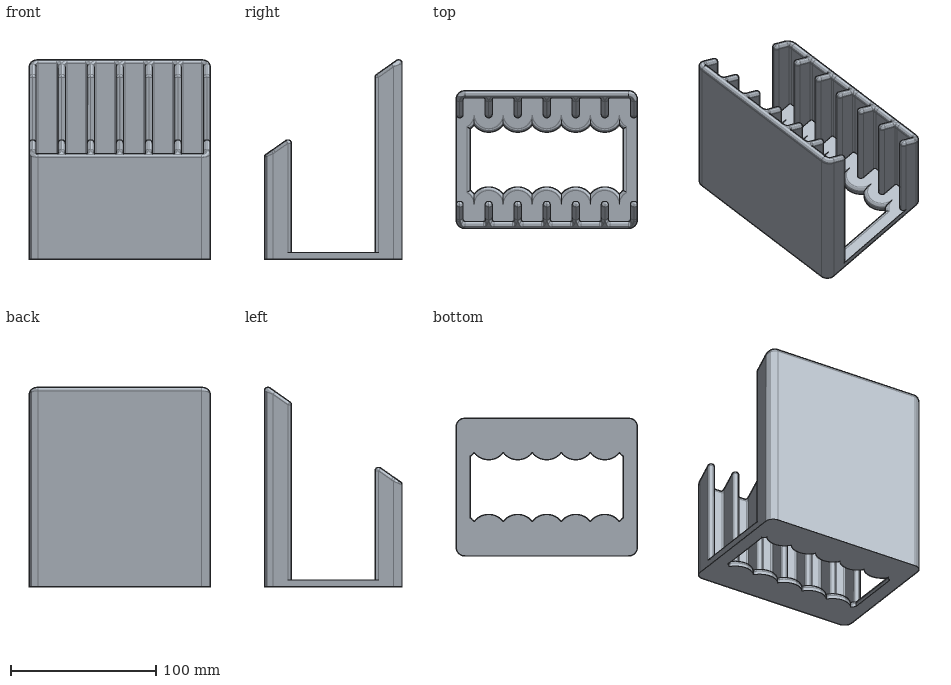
import cadquery as cq
import math

length = 125.0
width = 95.0
height = 137.6
half_width = width / 2

thickness = 5.0
fin_count = 7
fin_reach = 18.7
fin_pitch = (length - thickness) / (fin_count - 1)
fin_xs = [(i - (fin_count - 1) / 2) * fin_pitch for i in range(fin_count)]

corner_radius = 6.0
root_radius = corner_radius - thickness
rim_land = 0.03
rim_radius = (thickness - rim_land) / 2
floor_rounding = thickness / 2

slope = math.radians(35)
wall_step = 68.2
rim_drop = rim_radius * (math.tan(slope) + 1 / math.cos(slope) - 1)
rear_top = height + rim_drop
front_top = rear_top - wall_step

side_strip = 9.9
lobe_overlap = 0.03
lobe_radius = fin_pitch / 2 + floor_rounding + lobe_overlap
tip_axis_y = half_width - fin_reach + thickness / 2


def block(size_x, size_y, size_z):
    """Box centred on X and Y and standing on the XY plane."""
    return cq.Workplane("XY").box(size_x, size_y, size_z, centered=(True, True, False))


def finned_wall():
    """Rear wall with square-ended fins on its inner face, taller than needed."""
    blank_height = rear_top + fin_reach
    wall = block(length, thickness, blank_height).translate((0, half_width - thickness / 2, 0))
    fin = block(thickness, fin_reach, blank_height)
    for x in fin_xs:
        wall = wall.union(fin.translate((x, half_width - fin_reach / 2, 0)))
    wall = wall.edges("|Z and >Y").fillet(corner_radius)

    inner_y = half_width - thickness
    near_inner_face = cq.selectors.BoxSelector(
        (-length / 2, inner_y - root_radius / 2, 0),
        (length / 2, inner_y + root_radius / 2, blank_height),
    )
    return wall.edges("|Z").edges(near_inner_face).fillet(root_radius)


def slope_and_round(wall, outer_y, top_z, tip_side):
    """Cut the top along the slope through (outer_y, top_z), then round the rim and fin tips."""
    run = 2 * width
    rise = run * math.tan(slope)
    waste = (
        cq.Workplane("YZ")
        .moveTo(outer_y - run, top_z - rise)
        .lineTo(outer_y + run, top_z + rise)
        .lineTo(outer_y - run, top_z + rise)
        .close()
        .extrude(length, both=True)
    )
    wall = wall.cut(waste)
    slope_normal = f"(0,{-math.sin(slope)},{math.cos(slope)})"
    rim_edges = wall.faces(f">{slope_normal}").edges()
    tip_edges = wall.faces(tip_side).edges("|Z")
    return rim_edges.add(tip_edges).fillet(rim_radius)


def scalloped_floor():
    """Floor with a central opening whose long sides follow round lobes under the fin tips."""
    side_bar = block(side_strip, width, thickness)
    left_bar = side_bar.edges(">X and >Z").fillet(floor_rounding)
    right_bar = side_bar.edges("<X and >Z").fillet(floor_rounding)
    bar_x = (length - side_strip) / 2
    plate = left_bar.translate((-bar_x, 0, 0)).union(right_bar.translate((bar_x, 0, 0)))

    strip_depth = half_width - tip_axis_y
    strip = block(length, strip_depth, thickness)
    lobe = cq.Workplane("XY").circle(lobe_radius).extrude(thickness)
    lobe = lobe.faces(">Z").edges().fillet(floor_rounding)
    for side in (-1, 1):
        plate = plate.union(strip.translate((0, side * (half_width - strip_depth / 2), 0)))
        for x in fin_xs:
            plate = plate.union(lobe.translate((x, side * tip_axis_y, 0)))

    outline = block(length, width, thickness).edges("|Z").fillet(corner_radius)
    return plate.intersect(outline)


blank = finned_wall()
rear_wall = slope_and_round(blank, half_width, rear_top, "<Y")
front_wall = slope_and_round(blank.mirror("XZ"), -half_width, front_top, ">Y")
result = scalloped_floor().union(rear_wall).union(front_wall)